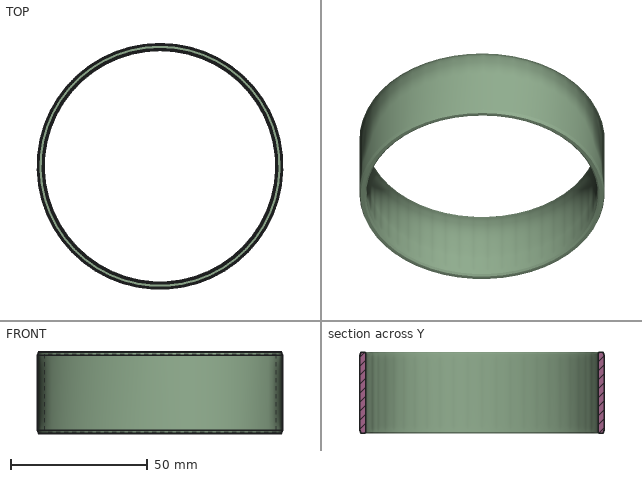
import cadquery as cq

outer_diameter = 90.0
height = 30.0
wall = 2.4

bevel_length = 1.3
bevel_depth = 0.45

bore_bevel = 0.6

outer_radius = outer_diameter / 2
bore_radius = outer_radius - wall
half_height = height / 2


def wall_section():
    """Half-section of the wall, Y as radius and Z as height."""
    return (
        cq.Workplane("YZ")
        .moveTo(bore_radius, -half_height + bore_bevel)
        .lineTo(bore_radius + bore_bevel, -half_height)
        .lineTo(outer_radius - bevel_depth, -half_height)
        .lineTo(outer_radius, -half_height + bevel_length)
        .lineTo(outer_radius, half_height - bevel_length)
        .lineTo(outer_radius - bevel_depth, half_height)
        .lineTo(bore_radius + bore_bevel, half_height)
        .lineTo(bore_radius, half_height - bore_bevel)
        .close()
    )


result = wall_section().revolve(360, (0, 0, 0), (0, 1, 0))